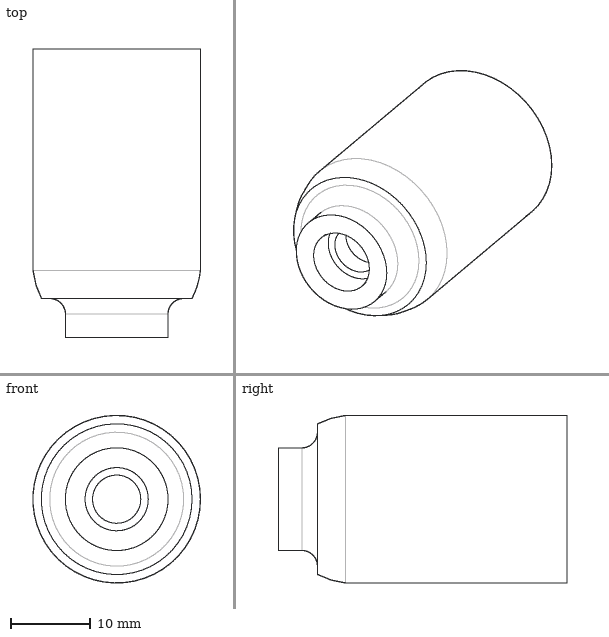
import cadquery as cq

total_length = 36.5
body_radius = 21.2 / 2
shoulder_radius = 9.53
shoulder_y = 4.93
nose_length = 3.55
nose_bulge = 0.2

neck_radius = 13.0 / 2
fillet_radius = 1.97

bore_radius = 8.0 / 2
bore_depth = 3.9
inner_bore_radius = 6.1 / 2
inner_bore_depth = 2.95

nose_end_y = shoulder_y + nose_length
nose_middle = (
    (shoulder_radius + body_radius) / 2 + nose_bulge,
    shoulder_y + nose_length / 2,
)


def make_body():
    """Revolve the outer half profile: neck, fillet, shoulder, rounded nose, barrel."""
    return (
        cq.Workplane("XY")
        .lineTo(neck_radius, 0)
        .lineTo(neck_radius, shoulder_y - fillet_radius)
        .radiusArc((neck_radius + fillet_radius, shoulder_y), fillet_radius)
        .lineTo(shoulder_radius, shoulder_y)
        .threePointArc(nose_middle, (body_radius, nose_end_y))
        .lineTo(body_radius, total_length)
        .lineTo(0, total_length)
        .close()
        .revolve(360, (0, 0, 0), (0, 1, 0))
    )


def make_bore(radius, start_y, depth):
    """Cylinder along +Y that starts at start_y."""
    return cq.Workplane("XZ", origin=(0, start_y, 0)).circle(radius).extrude(-depth)


entry_bore = make_bore(bore_radius, 0, bore_depth)
inner_bore = make_bore(inner_bore_radius, bore_depth, inner_bore_depth)

result = make_body().cut(entry_bore).cut(inner_bore)